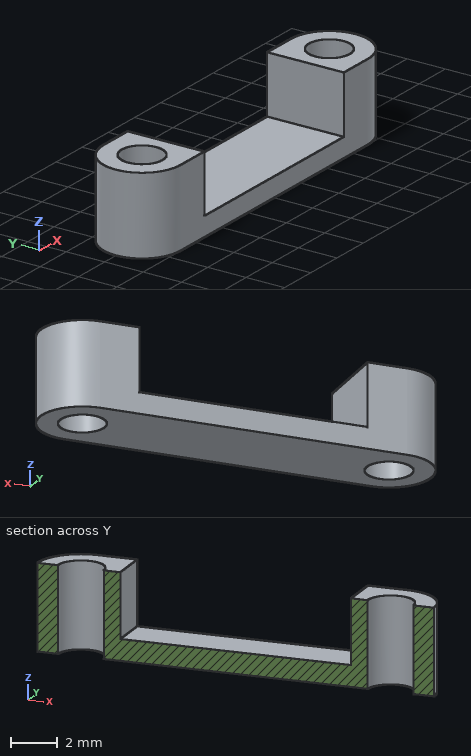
import cadquery as cq

length = 18.3
width = 4.0
height = 4.0
floor_thickness = 1.0
gap_length = 10.63
hole_diameter = 2.1

hole_spacing = length - width


def rounded_bar():
    """Full-height bar with semicircular ends, standing on Z = 0."""
    return cq.Workplane("XY").slot2D(length, width).extrude(height)


def gap_cutter():
    """Block that clears the space between the two end posts."""
    return (
        cq.Workplane("XY")
        .workplane(offset=floor_thickness)
        .rect(gap_length, width)
        .extrude(height - floor_thickness)
    )


def post_holes():
    """Vertical through holes, one in each end post."""
    return (
        cq.Workplane("XY")
        .rarray(hole_spacing, 0.18, 2, 1)
        .circle(hole_diameter / 2)
        .extrude(height)
    )


result = rounded_bar().cut(gap_cutter()).cut(post_holes())